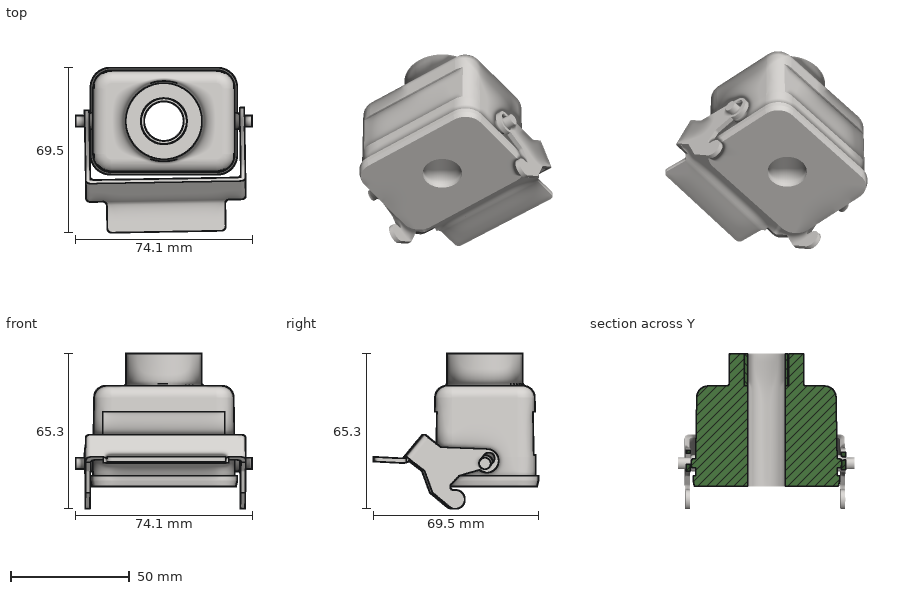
import cadquery as cq
import math

FLANGE_LENGTH = 61.8
FLANGE_WIDTH = 45.05
FLANGE_CORNER = 8.45
FLANGE_HEIGHT = 4.6
RIM_BEVEL_HEIGHT = 2.5
RIM_BEVEL_INSET = 0.6
BODY_LENGTH = 59.6
BODY_WIDTH = 42.9
BODY_CORNER = 7.7
STRAIGHT_TOP = 12.45
ROOF_HEIGHT = 42.4
WALL_DRAFT = 1.0
ROOF_FILLET = 5.05
PANEL_BOTTOM = 13.25
PANEL_TOP = 31.4
PANEL_DEPTH = 0.9

NECK_DIAMETER = 32.0
NECK_TOP = 55.9
NECK_FILLET = 0.9
BORE_DIAMETER = 16.5
SLEEVE_DIAMETER = 19.1
SLEEVE_SEAT_DIAMETER = 19.5

PIN_DIAMETER = 4.8
PIN_SPAN = 74.1
PIN_HEIGHT = 9.7
COLLAR_DIAMETER = 7.0
COLLAR_SPAN = 63.7
COLLAR_ROUND = 1.05

SHEET = 2.0
LEVER_WIDTH = 67.2
LEVER_TURN = 1.0
LEVER_PIVOT = (0.3, 0.2, 10.8)
EYE_RADIUS = 5.0
SLOT_PITCH = 2.75
BEND_INNER = 1.55
BEND_OUTER = BEND_INNER + SHEET
PLATE_ANGLE = 50.5
PLATE_HEIGHT = 12.2

ARM_SHOULDER = (-19.25, 5.7)
PLATE_TOP = (-24.4, 9.8)
ARM_HEEL = (-26.15, -4.3)
ARM_BACK = (-22.8, -13.4)
HOOK_CENTRE = (-13.2, -16.2)
HOOK_RADIUS = 4.0
NOTCH_RADIUS = 2.75 / 2
NOTCH_Y = -14.0
ARM_KNEE = (-11.5, -6.2)
ARM_NECK = (-3.25, -3.85)
ARM_ROUND = 1.5

TAB_WIDTH = 49.85
TAB_TIP = -46.75
TAB_RISE = 3.0
TAB_CORNER = 2.0
TAB_RELIEF = 1.5


def along(start, direction, distance):
    """Point at a distance from the start along a unit direction."""
    return (start[0] + distance * direction[0], start[1] + distance * direction[1])


def on_circle(centre, radius, angle):
    """Point on a circle at an angle in radians."""
    return along(centre, (math.cos(angle), math.sin(angle)), radius)


def tangent_angle(centre, radius, point, side):
    """Angle on the circle where the tangent from an outside point touches; side is +1 or -1."""
    dy = point[0] - centre[0]
    dz = point[1] - centre[1]
    return math.atan2(dz, dy) + side * math.acos(radius / math.hypot(dy, dz))


PLATE_DOWN = (-math.cos(math.radians(PLATE_ANGLE)), -math.sin(math.radians(PLATE_ANGLE)))
PLATE_OUT = (PLATE_DOWN[1], -PLATE_DOWN[0])
PLATE_BOTTOM = along(PLATE_TOP, PLATE_DOWN, PLATE_HEIGHT)


def rounded_block(length, width, corner, bottom, height, taper=0.0):
    """Block with rounded vertical corners, leaning inwards towards its far end by the taper angle."""
    outline = cq.Sketch().rect(length, width).vertices().fillet(corner)
    return cq.Workplane("XY").workplane(offset=bottom).placeSketch(outline).extrude(height, taper=taper)


def cylinder_along_x(diameter, length):
    """Cylinder centred on the pin axis."""
    return cq.Workplane("YZ").center(0, PIN_HEIGHT).circle(diameter / 2).extrude(length / 2, both=True)


def make_flange():
    """Bottom flange, a straight band above a rim bevelled inwards towards the underside."""
    bevel_angle = math.degrees(math.atan2(RIM_BEVEL_INSET, RIM_BEVEL_HEIGHT))
    band_height = FLANGE_HEIGHT - RIM_BEVEL_HEIGHT
    size = (FLANGE_LENGTH, FLANGE_WIDTH, FLANGE_CORNER, RIM_BEVEL_HEIGHT)
    return rounded_block(*size, band_height).union(rounded_block(*size, -RIM_BEVEL_HEIGHT, bevel_angle))


def make_body():
    """Walls and roof, upright at the bottom and drafted above."""
    size = (BODY_LENGTH, BODY_WIDTH, BODY_CORNER)
    straight = rounded_block(*size, FLANGE_HEIGHT, STRAIGHT_TOP - FLANGE_HEIGHT)
    drafted = rounded_block(*size, STRAIGHT_TOP, ROOF_HEIGHT - STRAIGHT_TOP, WALL_DRAFT)
    return straight.union(drafted.faces(">Z").edges().fillet(ROOF_FILLET))


def make_panel_recesses():
    """Flat shallow recesses across the front and back walls, following the draft."""
    draft_slope = math.tan(math.radians(WALL_DRAFT))

    def recess_y(z):
        return BODY_WIDTH / 2 - PANEL_DEPTH - draft_slope * (z - STRAIGHT_TOP)

    front = (
        cq.Workplane("YZ")
        .moveTo(-recess_y(PANEL_BOTTOM), PANEL_BOTTOM)
        .lineTo(-recess_y(PANEL_TOP), PANEL_TOP)
        .lineTo(-FLANGE_WIDTH / 2, PANEL_TOP)
        .lineTo(-FLANGE_WIDTH / 2, PANEL_BOTTOM)
        .close()
        .extrude(BODY_LENGTH / 2, both=True)
    )
    return front.union(front.mirror("XZ"))


def make_neck():
    """Cable neck whose flared foot runs down into the rounded roof edges."""
    radius = NECK_DIAMETER / 2
    foot_radius = radius + NECK_FILLET
    arc_inset = NECK_FILLET * (1 - math.sqrt(0.5))
    return (
        cq.Workplane("XZ")
        .moveTo(0, ROOF_HEIGHT - ROOF_FILLET)
        .lineTo(foot_radius, ROOF_HEIGHT - ROOF_FILLET)
        .lineTo(foot_radius, ROOF_HEIGHT)
        .threePointArc((radius + arc_inset, ROOF_HEIGHT + arc_inset), (radius, ROOF_HEIGHT + NECK_FILLET))
        .lineTo(radius, NECK_TOP)
        .lineTo(0, NECK_TOP)
        .close()
        .revolve(360, (0, 0, 0), (0, 1, 0))
    )


def make_pins():
    """Pivot pin on each side, with a round-edged collar against the wall."""
    collars = cylinder_along_x(COLLAR_DIAMETER, COLLAR_SPAN).faces("<X or >X").edges().fillet(COLLAR_ROUND)
    return collars.union(cylinder_along_x(PIN_DIAMETER, PIN_SPAN))


def make_housing():
    """Hood with its cable neck and pivot pins, one solid, bored through along Z."""
    bore = cq.Workplane("XY").circle(BORE_DIAMETER / 2).extrude(NECK_TOP)
    seat = (
        cq.Workplane("XY").workplane(offset=ROOF_HEIGHT)
        .circle(SLEEVE_SEAT_DIAMETER / 2).extrude(NECK_TOP - ROOF_HEIGHT)
    )
    shell = make_flange().union(make_body()).cut(make_panel_recesses())
    return shell.union(make_neck()).union(make_pins()).cut(bore).cut(seat)


def make_sleeve():
    """Plain ring standing on the shoulder of its seat in the neck."""
    return (
        cq.Workplane("XY").workplane(offset=ROOF_HEIGHT)
        .circle(SLEEVE_DIAMETER / 2).circle(BORE_DIAMETER / 2)
        .extrude(NECK_TOP - ROOF_HEIGHT)
    )


def make_arm(start_x):
    """One lever arm, a flat sheet from the eye to the cross plate and the hook."""
    hook_top = (HOOK_CENTRE[0], HOOK_CENTRE[1] + HOOK_RADIUS)
    hook_start = tangent_angle(HOOK_CENTRE, HOOK_RADIUS, ARM_BACK, 1)
    hook_end = 2.5 * math.pi
    hook_middle = (hook_start + hook_end) / 2
    notch_centre = (NOTCH_Y, hook_top[1] + NOTCH_RADIUS)
    notch_end = tangent_angle(notch_centre, NOTCH_RADIUS, ARM_KNEE, 1)
    notch_start = 1.5 * math.pi
    notch_middle = (notch_end + notch_start) / 2
    side = cq.Workplane("YZ").workplane(offset=start_x)
    arm = (
        side.moveTo(0, EYE_RADIUS)
        .lineTo(*ARM_SHOULDER)
        .lineTo(*PLATE_TOP)
        .lineTo(*PLATE_BOTTOM)
        .lineTo(*ARM_HEEL)
        .lineTo(*ARM_BACK)
        .lineTo(*on_circle(HOOK_CENTRE, HOOK_RADIUS, hook_start))
        .threePointArc(on_circle(HOOK_CENTRE, HOOK_RADIUS, hook_middle), hook_top)
        .lineTo(NOTCH_Y, hook_top[1])
        .threePointArc(
            on_circle(notch_centre, NOTCH_RADIUS, notch_middle),
            on_circle(notch_centre, NOTCH_RADIUS, notch_end),
        )
        .lineTo(*ARM_KNEE)
        .lineTo(*ARM_NECK)
        .lineTo(0, 0)
        .close()
        .extrude(SHEET)
    )
    for corner in (ARM_SHOULDER, ARM_HEEL, ARM_KNEE):
        corner_edge = cq.selectors.NearestToPointSelector((start_x + SHEET / 2, *corner))
        arm = arm.edges(corner_edge).fillet(ARM_ROUND)
    eye = side.circle(EYE_RADIUS).extrude(SHEET)
    slot = side.slot2D(SLOT_PITCH + PIN_DIAMETER, PIN_DIAMETER, PLATE_ANGLE).extrude(SHEET)
    return arm.union(eye).cut(slot)


def make_cross_plate():
    """Plate joining the arms, with a rounded bend at each end."""
    inner_width = LEVER_WIDTH - 2 * SHEET
    plane = cq.Plane(origin=(0, *PLATE_TOP), xDir=(1, 0, 0), normal=(0, *PLATE_DOWN))
    section = (
        cq.Sketch()
        .push([(0, SHEET - BEND_OUTER / 2)]).rect(LEVER_WIDTH, BEND_OUTER).reset()
        .vertices(">Y").fillet(SHEET)
    )
    opening = (
        cq.Sketch()
        .push([(0, -BEND_OUTER / 2)]).rect(inner_width, BEND_OUTER).reset()
        .vertices(">Y").fillet(BEND_INNER)
    )
    block = cq.Workplane(plane).placeSketch(section).extrude(PLATE_HEIGHT)
    return block.cut(cq.Workplane(plane).placeSketch(opening).extrude(PLATE_HEIGHT))


def make_tab_sheet(outer_start):
    """Full-width bent sheet that leaves the plate's lower edge and ends at the tab tip."""
    rise = math.radians(TAB_RISE)
    tab_out = (-math.cos(rise), math.sin(rise))
    bend_centre = along(PLATE_BOTTOM, PLATE_OUT, BEND_OUTER)
    end_angle = -math.pi / 2 - rise
    start_angle = math.radians(PLATE_ANGLE) - math.pi / 2
    middle_angle = (start_angle + end_angle) / 2
    under_end = on_circle(bend_centre, BEND_OUTER, end_angle)
    upper_end = on_circle(bend_centre, BEND_INNER, end_angle)
    flat_length = (under_end[0] - TAB_TIP) / math.cos(rise) + SHEET
    return (
        cq.Workplane("YZ")
        .moveTo(*PLATE_BOTTOM)
        .threePointArc(on_circle(bend_centre, BEND_OUTER, middle_angle), under_end)
        .lineTo(*along(under_end, tab_out, flat_length))
        .lineTo(*along(upper_end, tab_out, flat_length))
        .lineTo(*upper_end)
        .threePointArc(on_circle(bend_centre, BEND_INNER, middle_angle), outer_start)
        .close()
        .extrude(LEVER_WIDTH / 2, both=True)
    )


def make_tab():
    """Finger tab with rounded tip corners and a concave round at each side of its root."""
    outer_start = along(PLATE_BOTTOM, PLATE_OUT, SHEET)
    half = TAB_WIDTH / 2
    root_half = half + TAB_RELIEF
    root_y = outer_start[0]
    arc_inset = TAB_RELIEF * (1 - math.sqrt(0.5))
    plan = (
        cq.Workplane("XY").workplane(offset=-LEVER_WIDTH / 2)
        .moveTo(-half, TAB_TIP)
        .lineTo(half, TAB_TIP)
        .lineTo(half, root_y - TAB_RELIEF)
        .threePointArc((half + arc_inset, root_y - arc_inset), (root_half, root_y))
        .lineTo(root_half, PLATE_BOTTOM[0])
        .lineTo(-root_half, PLATE_BOTTOM[0])
        .lineTo(-root_half, root_y)
        .threePointArc((-half - arc_inset, root_y - arc_inset), (-half, root_y - TAB_RELIEF))
        .close()
        .extrude(LEVER_WIDTH)
        .edges("|Z and <Y").fillet(TAB_CORNER)
    )
    return make_tab_sheet(outer_start).intersect(plan)


def make_lever(housing):
    """Complete lever, turned into place and relieved where the pins and collars pass."""
    lever = make_cross_plate().union(make_tab())
    for start_x in (-LEVER_WIDTH / 2, LEVER_WIDTH / 2 - SHEET):
        lever = lever.union(make_arm(start_x))
    placed = lever.rotate((0, 0, 0), (0, 0, 1), LEVER_TURN).translate(LEVER_PIVOT)
    return placed.cut(housing)


housing = make_housing()
sleeve = make_sleeve()
lever = make_lever(housing)
result = cq.Compound.makeCompound([body.solids().val() for body in (housing, sleeve, lever)])